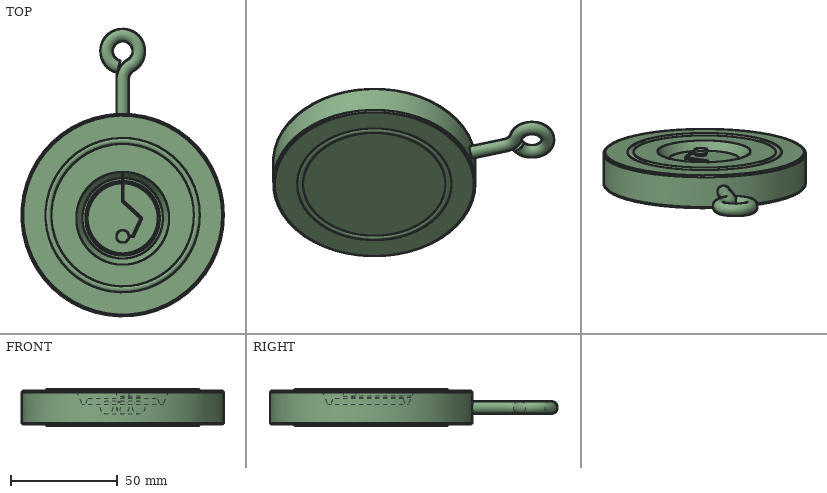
import cadquery as cq
import math

body_diameter = 95.0
total_height = 17.5
seal_protrusion = 0.8
body_height = total_height - 2 * seal_protrusion
body_top = body_height / 2
body_chamfer = 0.8

seal_section_diameter = 3.2
seal_centre_diameter = 69.7

recess_y = -1.5
recess_top_diameter = 43.6
recess_floor_diameter = 37.8
recess_depth = 6.6
plate_top_diameter = 33.0
plate_base_diameter = 35.0
plate_height = 3.0
plate_top = body_top - recess_depth + plate_height

pin_head_diameter = 6.0
pin_y = -10.0
pin_height = 2.5
pin_top = plate_top + pin_height
pin_head_height = 1.6
pin_neck_diameter = 5.0
wire_diameter = 0.7
wire_height = 0.8
wire_z = plate_top + wire_height
wire_points = [(0, 19.7), (0, 6.6), (8.8, -1.5), (4.9, pin_y), (0, pin_y)]

rod_diameter = 6.0
overall_length = 135.0
eye_tip_y = overall_length - body_diameter / 2
eye_radius = 7.5
eye_y = eye_tip_y - eye_radius - rod_diameter / 2
bend_angle = 60
ring_end_angle = 256
shank_end_y = eye_y - 2 * eye_radius * math.sin(math.radians(bend_angle))
shank_embedment = 4.0
shank_start_y = body_diameter / 2 - shank_embedment


def make_seal(z):
    """Round-section ring around the Z axis at height z."""
    torus = cq.Solid.makeTorus(seal_centre_diameter / 2, seal_section_diameter / 2)
    return cq.Workplane(obj=torus.translate(cq.Vector(0, 0, z)))


def make_cone(bottom_diameter, top_diameter, bottom_z, height):
    """Cone frustum on the axis of the recess."""
    base = cq.Vector(0, recess_y, bottom_z)
    return cq.Workplane(obj=cq.Solid.makeCone(bottom_diameter / 2, top_diameter / 2, height, base))


def make_body():
    """Disc with chamfered rims, seals and the recess with its plate."""
    disc = cq.Workplane("XY").cylinder(body_height, body_diameter / 2)
    disc = disc.edges("%CIRCLE").chamfer(body_chamfer)
    seal_z = total_height / 2 - seal_section_diameter / 2
    for z in (seal_z, -seal_z):
        disc = disc.union(make_seal(z))
    floor_z = body_top - recess_depth
    disc = disc.cut(make_cone(recess_floor_diameter, recess_top_diameter, floor_z, recess_depth))
    return disc.union(make_cone(plate_base_diameter, plate_top_diameter, floor_z, plate_height))


def make_pin():
    """Wide head on a slightly narrower neck that stands on the plate."""
    neck = cq.Workplane("XY", origin=(0, pin_y, plate_top)).circle(pin_neck_diameter / 2)
    head = cq.Workplane("XY", origin=(0, pin_y, pin_top)).circle(pin_head_diameter / 2)
    return neck.extrude(pin_top - plate_top).union(head.extrude(-pin_head_height))


def make_wire():
    """Straight lengths of wire joined by balls at the bends."""
    points = [cq.Vector(x, y, wire_z) for x, y in wire_points]
    radius = wire_diameter / 2
    spring = cq.Workplane("XY")
    for start, end in zip(points, points[1:]):
        step = end - start
        spring = spring.add(cq.Solid.makeCylinder(radius, step.Length, start, step))
    for corner in points[1:-1]:
        spring = spring.add(cq.Workplane("XY").sphere(radius).val().translate(corner))
    return spring.combine()


def ring_point(angle):
    """Point on the centreline of the eye, angle in degrees from +X."""
    turn = math.radians(angle)
    return (eye_radius * math.cos(turn), eye_y + eye_radius * math.sin(turn))


def bend_point(angle):
    """Point on the bend centreline after turning by angle in degrees."""
    turn = math.radians(angle)
    return (eye_radius * (1 - math.cos(turn)), shank_end_y + eye_radius * math.sin(turn))


def make_eye():
    path = (
        cq.Workplane("XY")
        .moveTo(0, shank_start_y)
        .lineTo(0, shank_end_y)
        .threePointArc(bend_point(bend_angle / 2), bend_point(bend_angle))
        .threePointArc(ring_point((ring_end_angle - bend_angle) / 2), ring_point(ring_end_angle))
    )
    section = cq.Workplane("XZ", origin=(0, shank_start_y, 0)).circle(rod_diameter / 2)
    return section.sweep(path)


result = make_body().union(make_pin()).union(make_wire()).union(make_eye())